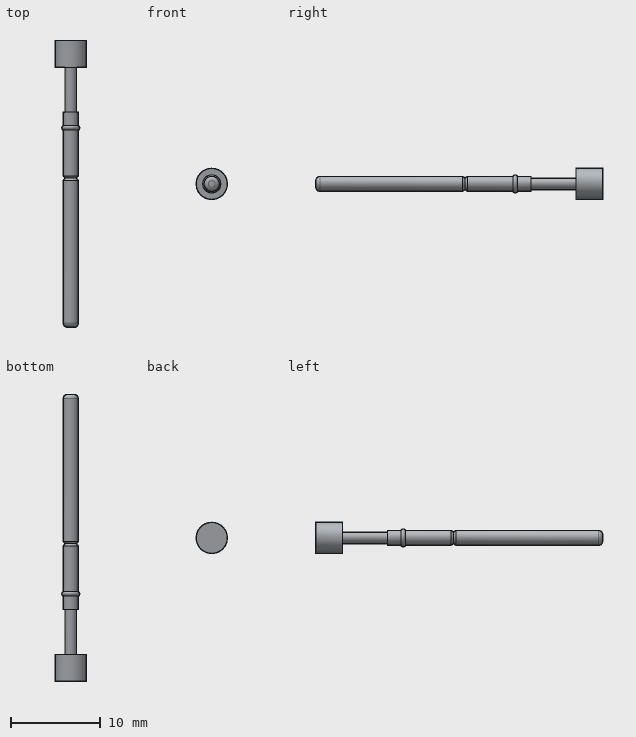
import cadquery as cq

total_length = 32.0

head_diameter = 3.5
head_length = 3.0
plunger_diameter = 1.3
plunger_length = 5.0

barrel_diameter = 1.7
tip_radius = 0.48

collar_diameter = 2.0
collar_width = 0.5
collar_setback = 1.5

groove_depth = 0.2
groove_width = 0.5
groove_setback = 7.35

barrel_length = total_length - head_length - plunger_length
axis_plane = cq.Workplane("XZ")


def cylinder(diameter, start, length):
    """Solid cylinder on the Y axis, from Y = start to Y = start + length."""
    return axis_plane.workplane(offset=-start).circle(diameter / 2).extrude(-length)


def make_barrel():
    """Barrel with a rounded tip at Y = 0."""
    return cylinder(barrel_diameter, 0, barrel_length).faces("<Y").edges().fillet(tip_radius)


def make_collar():
    """Press-in stop: a ring bulging out of the barrel with an arc section."""
    radius = barrel_diameter / 2
    head_side = barrel_length - collar_setback
    tip_side = head_side - collar_width
    crest = (collar_diameter / 2, head_side - collar_width / 2)
    section = (
        cq.Workplane("XY")
        .moveTo(0, tip_side)
        .lineTo(radius, tip_side)
        .threePointArc(crest, (radius, head_side))
        .lineTo(0, head_side)
        .close()
    )
    return section.revolve(360, (0, 0, 0), (0, 1, 0))


def make_groove():
    """Ring with a triangular section that cuts the V groove around the barrel."""
    radius = barrel_diameter / 2
    center = barrel_length - groove_setback
    section = [
        (radius, center - groove_width / 2),
        (radius - groove_depth, center),
        (radius, center + groove_width / 2),
    ]
    return cq.Workplane("XY").polyline(section).close().revolve(360, (0, 0, 0), (0, 1, 0))


def make_plunger():
    """Plunger rod and its flat cylindrical head."""
    rod = cylinder(plunger_diameter, barrel_length, plunger_length)
    head = cylinder(head_diameter, total_length - head_length, head_length)
    return rod.union(head)


result = make_barrel().union(make_collar()).cut(make_groove()).union(make_plunger())